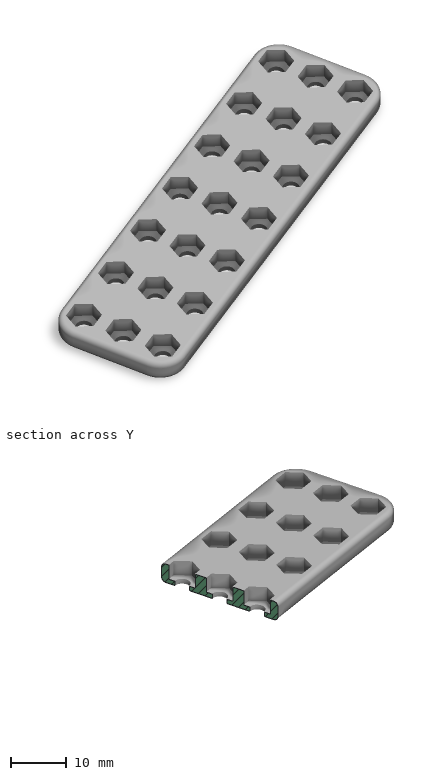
import cadquery as cq

plate_width = 25.0
plate_length = 82.6
plate_thickness = 4.0
corner_radius = 5.0
edge_radius = 1.0

columns = 3
rows = 7
column_pitch = 8.0
row_pitch = (plate_length - 2 * corner_radius) / (rows - 1)
hole_diameter = 3.05
nut_corner_diameter = 6.45
nut_pocket_depth = 3.0


def rounded_plate():
    """Plate standing on Z = 0, with round corners and rounded top and bottom rims."""
    plate = cq.Workplane("XY").box(
        plate_width, plate_length, plate_thickness, centered=(True, True, False)
    )
    plate = plate.edges("|Z").fillet(corner_radius)
    return plate.faces("<Z or >Z").edges().fillet(edge_radius)


def grid_at(z):
    """One point per hole at height z, centred on the plate; local X runs along the plate's length."""
    plane = cq.Plane(origin=(0, 0, z), xDir=(0, 1, 0), normal=(0, 0, 1))
    return cq.Workplane(plane).rarray(row_pitch, column_pitch, rows, columns)


def through_holes():
    return grid_at(0).circle(hole_diameter / 2).extrude(plate_thickness)


def nut_pockets():
    """Hexagonal prisms open at the top face, with corners pointing along the plate's length."""
    pocket_floor = plate_thickness - nut_pocket_depth
    return grid_at(pocket_floor).polygon(6, nut_corner_diameter).extrude(nut_pocket_depth)


result = rounded_plate().cut(through_holes()).cut(nut_pockets())